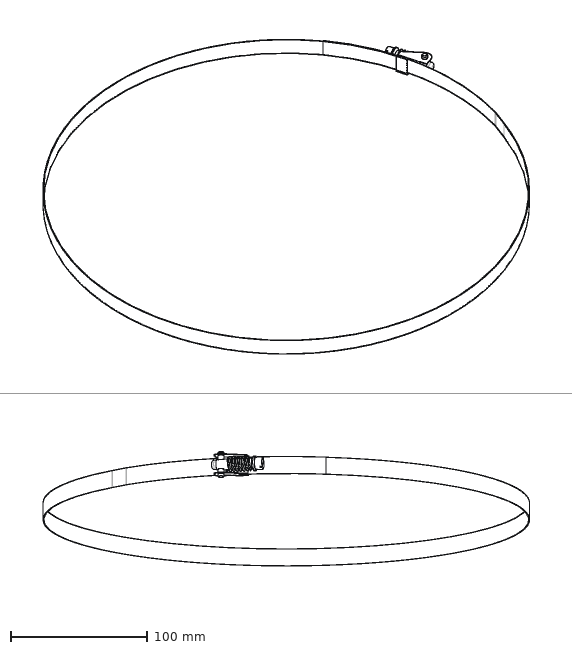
import cadquery as cq
import math


band_outer_radius = 178.53
band_thickness = 0.6
lap_gap = 0.1
band_width = 12.7
joggle_start_angle = 54.8
joggle_end_angle = 59.6
inner_end_angle = 89.0
outer_end_angle = 110.0

total_top_y = 191.49
thread_diameter = 11.1
thread_pitch = 2.54
thread_depth = 1.6
thread_crest_width = 0.2
thread_root_width = 1.6
thread_sink = 0.2
core_radius = thread_diameter / 2 - thread_depth
screw_axis_y = total_top_y - thread_diameter / 2
head_diameter = 9.0
head_left_x = -17.3
flange_left_x = -12.0
flange_rim_width = 1.2
flange_cone_width = 1.3
thread_start_x = -8.2
thread_turns = 7
screw_tip_x = 20.7
tip_start_x = 17.0
tip_diameter = 7.0
tip_rounding = 2.0
slot_width = 0.8
slot_depth = 1.6
slot_tilt = 40.0

sheet = 0.5
side_clearance = 0.3
ear_inner_z = band_width / 2 + side_clearance
saddle_left_x = -5.0
strap_right_x = 4.3
ear_slope_end_x = 12.3
ear_right_x = 18.9
ear_left_top_y = 183.7
seat_right_x = 13.4
seat_clearance = 0.05
seat_bottom_y = band_outer_radius + lap_gap + band_thickness + seat_clearance
seat_top_y = seat_bottom_y + sheet
strap_clearance = 0.45
strap_top_y = band_outer_radius - band_thickness - strap_clearance
strap_bottom_y = strap_top_y - sheet

pin_x = 13.9
ear_corner_radius = ear_right_x - pin_x
pin_diameter = 4.5
pin_span = 19.05
pin_end_z = pin_span / 2
pin_chamfer = 0.8
pin_seat_depth = 0.6



def polar(radius, angle):
    """Point on a circle about the Z axis; the angle is in degrees from +X."""
    return (radius * math.cos(math.radians(angle)), radius * math.sin(math.radians(angle)))


def make_band():
    """One strip: nearly a full turn, a step outwards, then a lap over its own start."""
    outer = band_outer_radius
    inner = outer - band_thickness
    lap_inner = outer + lap_gap
    lap_outer = lap_inner + band_thickness
    turn_middle = (inner_end_angle + joggle_start_angle + 360) / 2
    lap_middle = (joggle_end_angle + outer_end_angle) / 2
    return (
        cq.Workplane("XY", origin=(0, 0, -band_width / 2))
        .moveTo(*polar(inner, inner_end_angle))
        .threePointArc(polar(inner, turn_middle), polar(inner, joggle_start_angle))
        .lineTo(*polar(lap_inner, joggle_end_angle))
        .threePointArc(polar(lap_inner, lap_middle), polar(lap_inner, outer_end_angle))
        .lineTo(*polar(lap_outer, outer_end_angle))
        .threePointArc(polar(lap_outer, lap_middle), polar(lap_outer, joggle_end_angle))
        .lineTo(*polar(outer, joggle_start_angle))
        .threePointArc(polar(outer, turn_middle), polar(outer, inner_end_angle))
        .close()
        .extrude(band_width)
    )


def x_cylinder(diameter, start_x, end_x):
    """Cylinder on the screw axis."""
    return (
        cq.Workplane("YZ", origin=(start_x, screw_axis_y, 0))
        .circle(diameter / 2)
        .extrude(end_x - start_x)
    )


def make_thread():
    """Helical ridge, slightly sunk into the core so the two fuse cleanly."""
    sunk_radius = core_radius - thread_sink
    length = thread_turns * thread_pitch
    helix = cq.Wire.makeHelix(thread_pitch, length, sunk_radius)
    ridge = (
        cq.Workplane("XZ")
        .polyline([
            (sunk_radius, -thread_root_width / 2),
            (thread_diameter / 2, -thread_crest_width / 2),
            (thread_diameter / 2, thread_crest_width / 2),
            (sunk_radius, thread_root_width / 2),
        ])
        .close()
        .sweep(cq.Workplane(helix), isFrenet=True)
    )
    return (
        ridge.rotate((0, 0, 0), (0, 1, 0), 90)
        .translate((thread_start_x, screw_axis_y, 0))
    )


def pin_blank():
    """Upper pivot pin, standing on its seat in the screw."""
    start_z = core_radius - pin_seat_depth
    return (
        cq.Workplane("XY", origin=(pin_x, screw_axis_y, start_z))
        .circle(pin_diameter / 2)
        .extrude(pin_end_z - start_z)
    )


def mirrored_pair(body):
    """The body and its mirror image below the XY plane."""
    return [body, body.mirror("XY")]


def make_screw():
    """Slotted head, flange, threaded core seating the pivot pins, and a rounded tip."""
    flange_right_x = flange_left_x + flange_rim_width
    head = x_cylinder(head_diameter, head_left_x, flange_left_x)
    rim = x_cylinder(thread_diameter, flange_left_x, flange_right_x)
    cone = (
        cq.Workplane("YZ", origin=(flange_right_x, screw_axis_y, 0))
        .circle(thread_diameter / 2)
        .workplane(offset=flange_cone_width)
        .circle(core_radius)
        .loft()
    )
    core = x_cylinder(2 * core_radius, flange_left_x, tip_start_x)
    tip = x_cylinder(tip_diameter, tip_start_x, screw_tip_x).faces(">X").edges().fillet(tip_rounding)
    slot = (
        cq.Workplane("XY")
        .box(2 * slot_depth, slot_width, 2 * head_diameter)
        .rotate((0, 0, 0), (1, 0, 0), slot_tilt)
        .translate((head_left_x, screw_axis_y, 0))
    )
    screw = core.union(make_thread()).union(rim).union(cone).union(tip).union(head).cut(slot)
    for pin in mirrored_pair(pin_blank()):
        screw = screw.cut(pin)
    return screw


def cross_plate(right_x, bottom_y):
    """Flat sheet reaching from the inner face of one ear to that of the other."""
    return (
        cq.Workplane("XY")
        .box(right_x - saddle_left_x, sheet, 2 * ear_inner_z, centered=(False, False, True))
        .translate((saddle_left_x, bottom_y, 0))
    )


def make_saddle():
    """Two ears joined by a seat above the band and a strap below it."""
    ear = (
        cq.Workplane("XY", origin=(0, 0, ear_inner_z))
        .moveTo(saddle_left_x, strap_bottom_y)
        .lineTo(strap_right_x, strap_bottom_y)
        .lineTo(strap_right_x, seat_bottom_y)
        .lineTo(seat_right_x, seat_bottom_y)
        .lineTo(seat_right_x, seat_top_y)
        .lineTo(ear_right_x, seat_top_y)
        .lineTo(ear_right_x, total_top_y - ear_corner_radius)
        .tangentArcPoint((pin_x, total_top_y), relative=False)
        .lineTo(ear_slope_end_x, total_top_y)
        .lineTo(saddle_left_x, ear_left_top_y)
        .close()
        .extrude(sheet)
    )
    ear = ear.cut(pin_blank())
    seat = cross_plate(seat_right_x, seat_bottom_y)
    strap = cross_plate(strap_right_x, strap_bottom_y)
    saddle = seat.union(strap)
    for side in mirrored_pair(ear):
        saddle = saddle.union(side)
    return saddle


band = make_band()
saddle = make_saddle()
screw = make_screw()
pins = mirrored_pair(pin_blank().faces(">Z").chamfer(pin_chamfer))

result = cq.Compound.makeCompound(
    [band.val(), saddle.val(), screw.val(), *[pin.val() for pin in pins]]
)